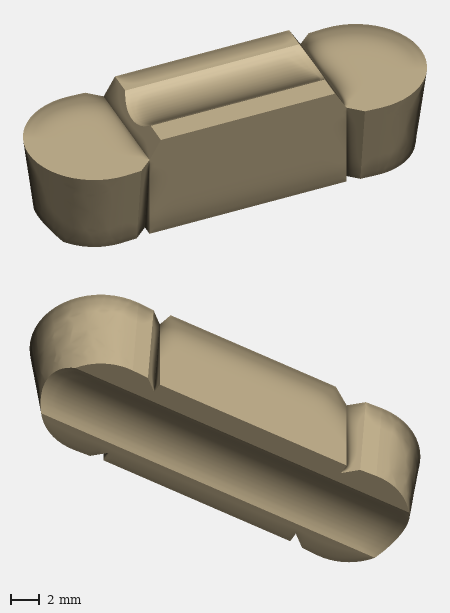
import cadquery as cq
import math

length = 30.0
height = 8.0

block_width = 8.0
block_length = 15.05
crown_length = 13.32
shoulder_height = 6.5

head_radius = 4.995
relief_angle = 7.0
arc_end_y = 9.8
flank_end_y = 8.55
flank_half_width = 4.92

top_groove_width = 4.45
bottom_groove_width = 4.8
groove_depth = 0.8

relief = shoulder_height * math.tan(math.radians(relief_angle))


def make_block():
    """Straight block with a raised crown that slopes down at both ends."""
    return (
        cq.Workplane("YZ")
        .moveTo(-block_length / 2, 0)
        .lineTo(block_length / 2, 0)
        .lineTo(block_length / 2, shoulder_height)
        .lineTo(crown_length / 2, height)
        .lineTo(-crown_length / 2, height)
        .lineTo(-block_length / 2, shoulder_height)
        .close()
        .extrude(block_width / 2, both=True)
    )


def head_outline(z, inset):
    """Head section at height z, with its outer edge drawn in by the inset."""
    tip_y = length / 2
    centre_y = tip_y - head_radius
    arc_end_x = math.sqrt(head_radius**2 - (centre_y - arc_end_y) ** 2) - inset
    flank_x = flank_half_width - inset
    neck_x = block_width / 2 - inset
    neck_y = block_length / 2
    return (
        cq.Workplane("XY", origin=(0, 0, z))
        .moveTo(-neck_x, neck_y)
        .lineTo(neck_x, neck_y)
        .lineTo(flank_x, flank_end_y)
        .lineTo(arc_end_x, arc_end_y)
        .threePointArc((0, tip_y - inset), (-arc_end_x, arc_end_y))
        .lineTo(-flank_x, flank_end_y)
        .close()
        .wire()
        .val()
    )


def make_head():
    """Tapered round head at the +Y end."""
    base = head_outline(0, relief)
    top = head_outline(shoulder_height, 0)
    return cq.Workplane(cq.Solid.makeLoft([base, top], True))


def groove_cutter(width, surface_z, floor_z):
    """Full-length cylinder that cuts a groove of the given width at a surface."""
    depth = abs(surface_z - floor_z)
    radius = ((width / 2) ** 2 + depth**2) / (2 * depth)
    outward = math.copysign(1, surface_z - floor_z)
    return (
        cq.Workplane("XZ")
        .center(0, floor_z + outward * radius)
        .circle(radius)
        .extrude(length, both=True)
    )


head = make_head()
result = make_block().union(head).union(head.mirror("XZ"))
result = result.cut(groove_cutter(top_groove_width, height, height - groove_depth))
result = result.cut(groove_cutter(bottom_groove_width, 0, groove_depth))